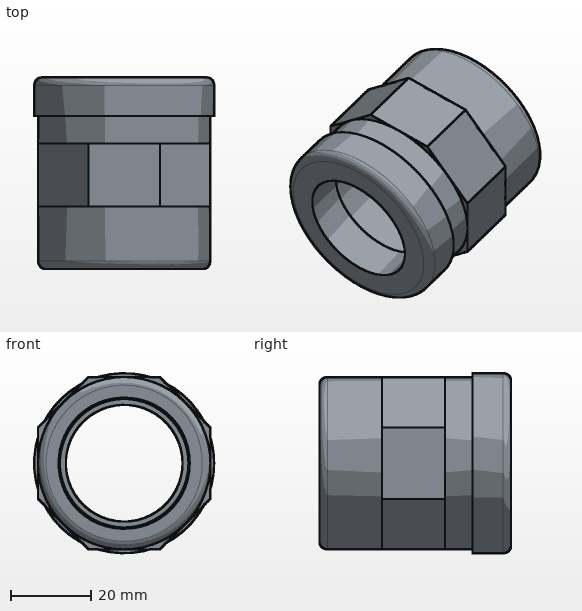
import cadquery as cq
import math

total_length = 47.8
collar_diameter = 44.9
collar_length = 9.65
body_diameter = 42.92
edge_radius = 2.0

wrench_sides = 8
wrench_start = 15.6
wrench_length = 15.7
wrench_corner_diameter = body_diameter / math.cos(math.pi / wrench_sides)

through_diameter = 29.0
socket_diameter = 32.0
socket_depth = 22.45
mouth_diameter = 32.7
mouth_depth = 3.55

front_y = -total_length / 2
back_y = total_length / 2
collar_front_y = back_y - collar_length


def cross_section(y):
    """Workplane across the axis at y, with its normal along +Y."""
    return cq.Workplane(cq.Plane(origin=(0, y, 0), xDir=(1, 0, 0), normal=(0, 1, 0)))


def cylinder(diameter, start_y, length):
    return cross_section(start_y).circle(diameter / 2).extrude(length)


def make_wrench_section():
    return (
        cross_section(front_y + wrench_start)
        .transformed(rotate=(0, 0, 180 / wrench_sides))
        .polygon(wrench_sides, wrench_corner_diameter)
        .extrude(wrench_length)
    )


def make_socket():
    """Solid of revolution that cuts the tapered entry and the straight socket."""
    return (
        cq.Workplane("XY")
        .moveTo(0, front_y)
        .lineTo(mouth_diameter / 2, front_y)
        .lineTo(socket_diameter / 2, front_y + mouth_depth)
        .lineTo(socket_diameter / 2, front_y + socket_depth)
        .lineTo(0, front_y + socket_depth)
        .close()
        .revolve(360, (0, 0, 0), (0, 1, 0))
    )


def make_body():
    barrel = cylinder(body_diameter, front_y, total_length - collar_length)
    barrel = barrel.faces("<Y").edges().fillet(edge_radius)
    body = barrel.union(make_wrench_section())
    body = body.cut(cylinder(through_diameter, front_y, total_length))
    return body.cut(make_socket())


def make_collar():
    """Rounded ring that butts against the back end of the body."""
    collar = cylinder(collar_diameter, collar_front_y, collar_length)
    collar = collar.faces(">Y").edges().fillet(edge_radius)
    return collar.cut(cylinder(through_diameter, collar_front_y, collar_length))


body = make_body()
collar = make_collar()

result = cq.Compound.makeCompound([body.val(), collar.val()])